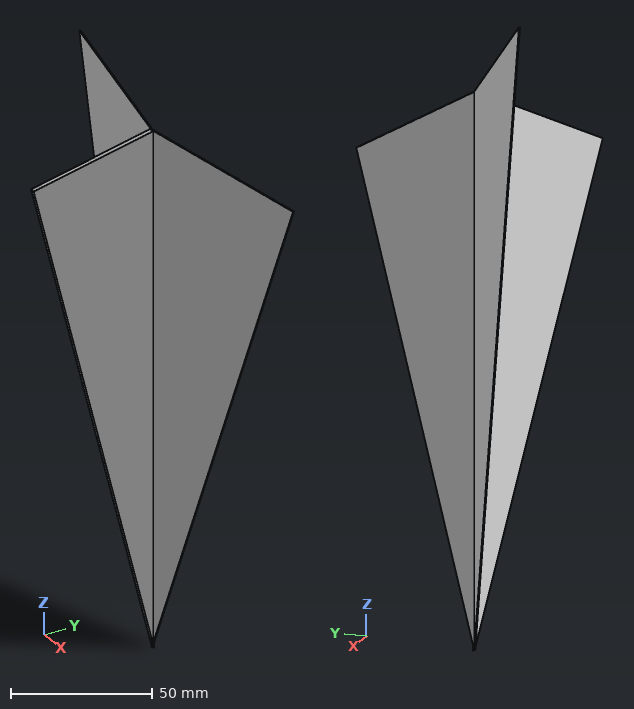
import cadquery as cq
import math

HEIGHT = 206.2
FIN_LENGTH_RATIO = 4.0
FIN_THICKNESS = 2.0

WING_WIDTH = 80.0
WING_THICKNESS = 0.5
WING_SWEEP = 10.0

fin_angle = math.atan(1 / FIN_LENGTH_RATIO)
fin_top_edge = HEIGHT * math.sin(fin_angle)
fin_reach = fin_top_edge * math.cos(fin_angle)
fin_drop = fin_top_edge * math.sin(fin_angle)


def make_fin():
    """Vertical fin reaching toward -Y, centred on the YZ plane."""
    outline = [(0, 0), (0, HEIGHT), (-fin_reach, HEIGHT - fin_drop)]
    return cq.Workplane("YZ").polyline(outline).close().extrude(FIN_THICKNESS / 2, both=True)


def make_wing(side):
    """Triangular wing on one side (+1 or -1 along X), thickened toward the fin."""
    outline = [(0, 0), (0, HEIGHT), (side * WING_WIDTH, HEIGHT)]
    wing = cq.Workplane("XZ").polyline(outline).close().extrude(WING_THICKNESS)
    return wing.rotate((0, 0, 0), (0, 0, 1), side * WING_SWEEP)


result = make_fin()
for side in (-1, 1):
    result = result.union(make_wing(side))